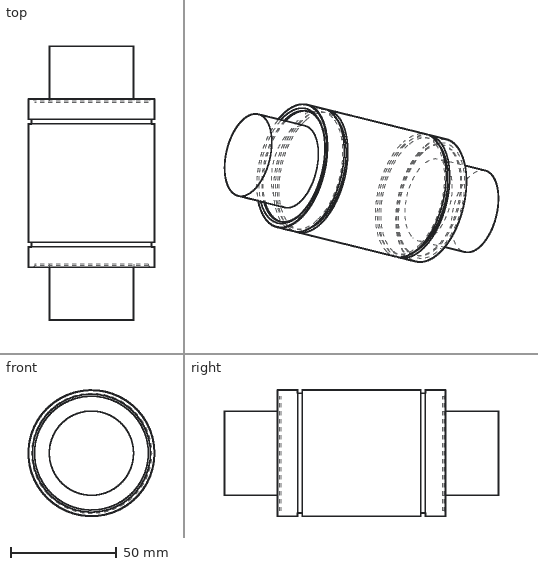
import cadquery as cq

shaft_diameter = 40.0
shaft_length = 130.0

sleeve_diameter = 60.0
sleeve_length = 80.0
rim_chamfer = 0.2

groove_diameter = 57.0
groove_width = 2.1
groove_span = 60.5

recess_diameter = 54.0
recess_depth = 1.7
recess_chamfer = 1.0

ends = (-1, 1)


def cylinder(diameter, length, center_y=0.0):
    """Solid cylinder on the Y axis, centred at center_y."""
    plane = cq.Workplane("XZ", origin=(0, center_y + length / 2, 0))
    return plane.circle(diameter / 2).extrude(length)


def ring_groove(end):
    """Square-walled ring of material to remove near one sleeve end."""
    center_y = end * (groove_span - groove_width) / 2
    ring = cylinder(sleeve_diameter, groove_width, center_y)
    return ring.cut(cylinder(groove_diameter, groove_width, center_y))


def end_recess(end):
    """Round recess to remove from one sleeve end, widening at its mouth."""
    radius = recess_diameter / 2
    mouth_y = end * sleeve_length / 2
    chamfer_y = mouth_y - end * recess_chamfer
    floor_y = mouth_y - end * recess_depth
    profile = (
        cq.Workplane("XY")
        .moveTo(0, mouth_y)
        .lineTo(radius + recess_chamfer, mouth_y)
        .lineTo(radius, chamfer_y)
        .lineTo(radius, floor_y)
        .lineTo(0, floor_y)
        .close()
    )
    return profile.revolve(360, (0, 0, 0), (0, 1, 0))


def make_sleeve():
    """Sleeve with chamfered rims, ring grooves and recessed ends."""
    sleeve = cylinder(sleeve_diameter, sleeve_length)
    sleeve = sleeve.faces("<Y or >Y").edges().chamfer(rim_chamfer)
    for end in ends:
        sleeve = sleeve.cut(ring_groove(end))
        sleeve = sleeve.cut(end_recess(end))
    return sleeve


shaft = cylinder(shaft_diameter, shaft_length)
result = make_sleeve().union(shaft)